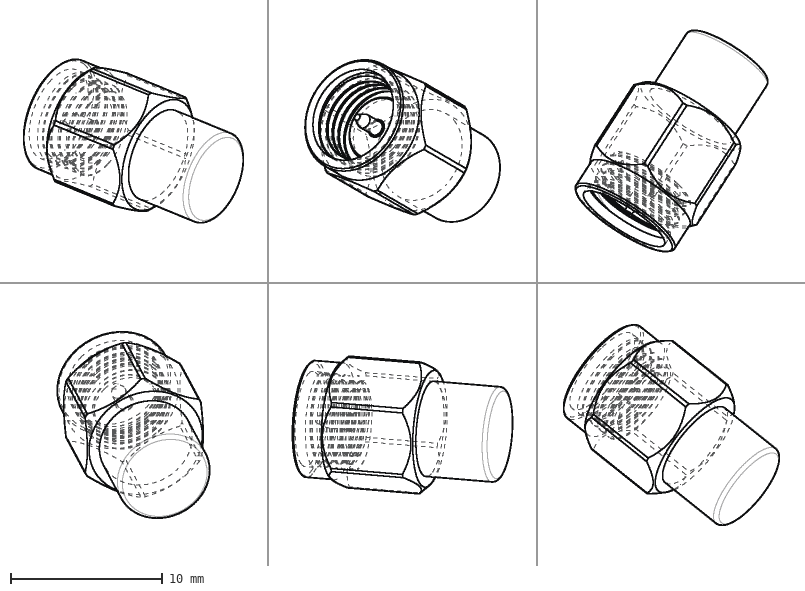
import cadquery as cq
import math

TOTAL_LENGTH = 13.21

COLLAR_RADIUS = 3.88
COLLAR_CHAMFER = 0.13
HEX_START = 2.05
HEX_END = 8.38
HEX_ACROSS_FLATS = 7.94
HEX_CORNER_RADIUS = 9.0 / 2
HEX_CHAMFER_LENGTH = 0.69

BARREL_RADIUS = 3.17
BARREL_FILLET = 0.26

MOUTH_RADIUS = 3.17
MOUTH_DEPTH = 0.7
LEAD_IN_LENGTH = 0.33
BORE_RADIUS = 2.77
BORE_DEPTH = 3.43

PITCH = 0.7
THREAD_MAJOR_RADIUS = 3.15
THREAD_START = 0.26
THREAD_RUN_OUT = 0.4
THREAD_START_ANGLE = 180.0
GROOVE_MOUTH_WIDTH = 0.75 * PITCH
GROOVE_ROOT_WIDTH = PITCH / 8
GROOVE_OVERLAP = 0.07

FERRULE_RADIUS = 2.23
FERRULE_CHAMFER = 0.12
FERRULE_FACE = 2.87
SHOULDER_RADIUS = 0.61
SHOULDER_HEIGHT = 0.07
PIN_RADIUS = 0.49
PIN_TIP_RADIUS = 0.21
PIN_TIP = 0.52
PIN_TAPER_LENGTH = 0.79


def revolve_about_x(points):
    """Solid of revolution from (axial position, radius) points."""
    return cq.Workplane("XY").polyline(points).close().revolve(360, (0, 0, 0), (1, 0, 0))


def cylinder(start, end, radius):
    return cq.Workplane("YZ", origin=(start, 0, 0)).circle(radius).extrude(end - start)


def make_hex():
    """Hexagon with corners at +Z and -Z, corners turned and both ends chamfered."""
    corner_diameter = HEX_ACROSS_FLATS / math.cos(math.pi / 6)
    prism = (
        cq.Workplane("YZ", origin=(HEX_START, 0, 0))
        .transformed(rotate=(0, 0, 90))
        .polygon(6, corner_diameter)
        .extrude(HEX_END - HEX_START)
    )
    envelope = revolve_about_x([
        (HEX_START, 0),
        (HEX_START, COLLAR_RADIUS),
        (HEX_START + HEX_CHAMFER_LENGTH, HEX_CORNER_RADIUS),
        (HEX_END - HEX_CHAMFER_LENGTH, HEX_CORNER_RADIUS),
        (HEX_END, COLLAR_RADIUS),
        (HEX_END, 0),
    ])
    return prism.intersect(envelope)


def make_collar():
    return cylinder(0, HEX_START, COLLAR_RADIUS).faces("<X").chamfer(COLLAR_CHAMFER)


def make_barrel():
    return cylinder(HEX_END, TOTAL_LENGTH, BARREL_RADIUS).faces(">X").fillet(BARREL_FILLET)


def make_bore():
    """Plain mouth, conical lead-in and thread bore, deep enough for the thread run-out."""
    lead_in_end = MOUTH_DEPTH + LEAD_IN_LENGTH
    bore_end = BORE_DEPTH + THREAD_RUN_OUT + PITCH
    return revolve_about_x([
        (0, 0),
        (0, MOUTH_RADIUS),
        (MOUTH_DEPTH, MOUTH_RADIUS),
        (lead_in_end, BORE_RADIUS),
        (bore_end, BORE_RADIUS),
        (bore_end, 0),
    ])


def make_thread_cutter():
    """Right-hand helical V groove, swept along Z and then laid along X."""
    length = BORE_DEPTH + THREAD_RUN_OUT - THREAD_START
    slope = (GROOVE_MOUTH_WIDTH - GROOVE_ROOT_WIDTH) / (THREAD_MAJOR_RADIUS - BORE_RADIUS)
    inner_half = (GROOVE_MOUTH_WIDTH + slope * GROOVE_OVERLAP) / 2
    root_half = GROOVE_ROOT_WIDTH / 2
    inner_radius = BORE_RADIUS - GROOVE_OVERLAP
    helix = cq.Workplane(obj=cq.Wire.makeHelix(PITCH, length, BORE_RADIUS))
    groove = (
        cq.Workplane("XZ")
        .polyline([
            (inner_radius, -inner_half),
            (THREAD_MAJOR_RADIUS, -root_half),
            (THREAD_MAJOR_RADIUS, root_half),
            (inner_radius, inner_half),
        ])
        .close()
        .sweep(helix, isFrenet=True)
    )
    return (
        groove.rotate((0, 0, 0), (0, 0, 1), THREAD_START_ANGLE)
        .rotate((0, 0, 0), (0, 1, 0), 90)
        .translate((THREAD_START, 0, 0))
    )


def make_core():
    """Fills the nut behind the bore floor and carries the chamfered ferrule."""
    filling = cylinder(BORE_DEPTH, HEX_END, COLLAR_RADIUS - COLLAR_CHAMFER)
    ferrule = cylinder(FERRULE_FACE, HEX_END, FERRULE_RADIUS).faces("<X").chamfer(FERRULE_CHAMFER)
    return filling.union(ferrule)


def make_contact():
    """Tapered centre pin standing on a low shoulder."""
    shoulder_face = FERRULE_FACE - SHOULDER_HEIGHT
    return revolve_about_x([
        (PIN_TIP, 0),
        (PIN_TIP, PIN_TIP_RADIUS),
        (PIN_TIP + PIN_TAPER_LENGTH, PIN_RADIUS),
        (shoulder_face, PIN_RADIUS),
        (shoulder_face, SHOULDER_RADIUS),
        (BORE_DEPTH, SHOULDER_RADIUS),
        (BORE_DEPTH, 0),
    ])


nut = make_collar().union(make_hex()).cut(make_bore()).cut(make_thread_cutter())
result = nut.union(make_core()).union(make_barrel()).union(make_contact())